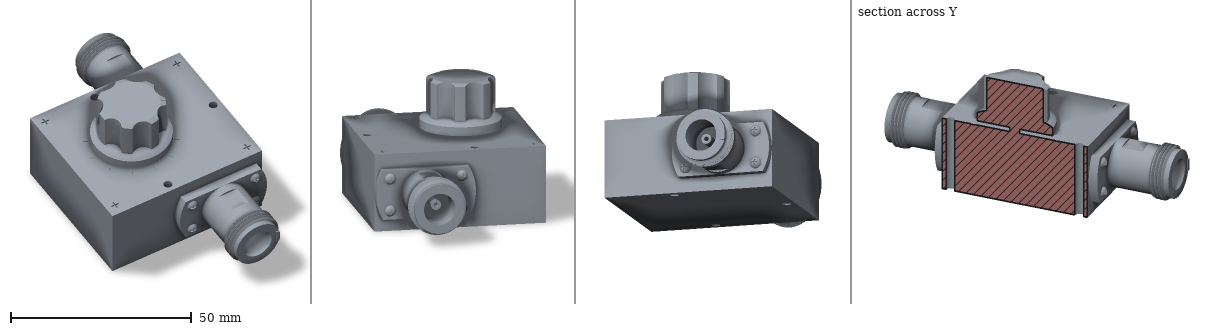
import cadquery as cq
import math


box_width = 44.0
box_depth = 48.53
box_height = 22.0
lid_thickness = 4.1
knob_to_back = 29.0
back_y = knob_to_back
front_y = back_y - box_depth
base_height = box_height - lid_thickness

mount_hole_diameter = 2.5
mount_hole_inset = 2.5

lid_screw_diameter = 3.6
lid_screw_depth = 1.5
lid_screw_inset_x = 3.3
lid_screw_inset_y = 2.9
lid_slot_length = 2.4
lid_slot_width = 0.4
slot_depth = 0.6

shaft_diameter = 3.175
skirt_radius = 11.5
skirt_bottom = 23.2
skirt_edge_top = 25.7
grip_radius = 9.6
grip_base = 26.75
skirt_crown = 27.15
grip_top_radius = 8.05
grip_chamfer_height = 0.6
knob_top = 37.38
cap_radius = 6.6
cap_depth = 1.0
lobe_count = 7
lobe_half_angle = math.radians(8.75)
scallop_valley_radius = 7.85
pointer_lobe = 3
pointer_width = 0.5
pointer_depth = 0.15

tick_count = 12
tick_inner_radius = 12.0
tick_length = 1.4
tick_width = 0.3
tick_depth = 0.1

barrel_radius = 7.0
connector_length = 20.95
flange_radius = 14.1
connector_y = back_y - flange_radius
connector_z = base_height - barrel_radius
flange_thickness = 2.6
flat_length = 6.35
flat_start = 5.1
flat_height = 6.35
bore_diameter = 8.9
bore_depth = 10.0
contact_diameter = 2.8
contact_hole_diameter = 1.3
contact_hole_depth = 4.0
contact_recess = 5.0

inch = 25.4
thread_pitch = inch / 24
thread_radius = inch * 5 / 16
thread_root_radius = 6.9
thread_crest_width = 0.08
thread_root_width = 0.95
thread_envelope_clearance = 0.2
thread_taper_radius = 6.7
thread_taper_length = 1.0
thread_start = connector_length - 6.2
thread_end = connector_length - 1.3

flange_screw_radius = 1.58
flange_screw_height = 1.14
flange_screw_y = 10.17
flange_screw_z = 4.55
flange_slot_length = 1.7
flange_slot_width = 0.4

tab_height = 0.3
tab_width = 3.6
tab_inner_edge = 5.8


def cross_slot(length, width, depth):
    """Cross-shaped cutter reaching down from z = 0."""
    bar = cq.Workplane("XY").rect(length, width).extrude(-depth)
    return bar.union(bar.rotate((0, 0, 0), (0, 0, 1), 90))


def lid_screw_points():
    x = box_width / 2 - lid_screw_inset_x
    front_row = front_y + lid_screw_inset_y
    back_row = back_y - lid_screw_inset_y
    return [(side * x, y) for side in (-1, 1) for y in (front_row, back_row)]


def drill_mount_holes(body):
    side_x = box_width / 2 - mount_hole_inset
    points = [(-side_x, 0), (side_x, 0), (0, back_y - mount_hole_inset)]
    drills = cq.Workplane("XY").pushPoints(points).circle(mount_hole_diameter / 2).extrude(box_height)
    return body.cut(drills)


def make_base():
    block = cq.Workplane("XY").box(box_width, box_depth, base_height, centered=(True, False, False))
    return drill_mount_holes(block.translate((0, front_y, 0)))


def make_lid():
    plate = cq.Workplane("XY").box(box_width, box_depth, lid_thickness, centered=(True, False, False))
    lid = drill_mount_holes(plate.translate((0, front_y, base_height)))
    top = cq.Workplane("XY", origin=(0, 0, box_height))
    seats = top.pushPoints(lid_screw_points()).circle(lid_screw_diameter / 2).extrude(-lid_screw_depth)
    ticks = (
        top.polarArray(tick_inner_radius + tick_length / 2, 0, 360, tick_count)
        .rect(tick_length, tick_width)
        .extrude(-tick_depth)
    )
    return lid.cut(seats).cut(ticks)


def make_lid_screws():
    screw = cq.Workplane("XY").circle(lid_screw_diameter / 2).extrude(-lid_screw_depth)
    screw = screw.cut(cross_slot(lid_slot_length, lid_slot_width, slot_depth))
    return [screw.translate((x, y, box_height)) for x, y in lid_screw_points()]


def make_knob():
    """Shaft, domed skirt and scalloped grip; the grip top has a socket for the cap."""
    skirt = (
        cq.Workplane("XZ")
        .moveTo(0, skirt_bottom)
        .lineTo(skirt_radius, skirt_bottom)
        .lineTo(skirt_radius, skirt_edge_top)
        .threePointArc((grip_radius, grip_base), (scallop_valley_radius, skirt_crown))
        .lineTo(0, skirt_crown)
        .close()
        .revolve(360, (0, 0), (0, 1))
    )
    grip = (
        cq.Workplane("XZ")
        .moveTo(0, skirt_edge_top)
        .lineTo(grip_radius, skirt_edge_top)
        .lineTo(grip_radius, knob_top - grip_chamfer_height)
        .lineTo(grip_top_radius, knob_top)
        .lineTo(0, knob_top)
        .close()
        .revolve(360, (0, 0), (0, 1))
    )
    scallop_half_angle = math.pi / lobe_count - lobe_half_angle
    half_chord = grip_radius * math.sin(scallop_half_angle)
    sagitta = grip_radius * math.cos(scallop_half_angle) - scallop_valley_radius
    scallop_radius = (half_chord**2 + sagitta**2) / (2 * sagitta)
    first_scallop_angle = -90 + 180 / lobe_count
    scallops = (
        cq.Workplane("XY", origin=(0, 0, skirt_bottom))
        .polarArray(scallop_valley_radius + scallop_radius, first_scallop_angle, 360, lobe_count)
        .circle(scallop_radius)
        .extrude(knob_top - skirt_bottom)
    )
    socket = cq.Workplane("XY", origin=(0, 0, knob_top)).circle(cap_radius).extrude(-cap_depth)
    shaft = (
        cq.Workplane("XY", origin=(0, 0, base_height))
        .circle(shaft_diameter / 2)
        .extrude(skirt_edge_top - base_height)
    )
    grip = grip.cut(scallops).cut(make_pointer_groove())
    return grip.union(skirt).union(shaft).cut(socket)


def make_pointer_groove():
    """Cutter for the shallow pointer mark down the chamfer of one lobe."""
    chamfer_bottom = knob_top - grip_chamfer_height
    groove = (
        cq.Workplane("XZ")
        .moveTo(grip_top_radius, knob_top)
        .lineTo(grip_radius, chamfer_bottom)
        .lineTo(grip_radius, chamfer_bottom - pointer_depth)
        .lineTo(grip_top_radius, knob_top - pointer_depth)
        .close()
        .extrude(pointer_width / 2, both=True)
    )
    return groove.rotate((0, 0, 0), (0, 0, 1), -90 + pointer_lobe * 360 / lobe_count)


def make_knob_cap():
    return cq.Workplane("XY", origin=(0, 0, knob_top)).circle(cap_radius).extrude(-cap_depth)


def make_thread():
    """Helical ridge around the Z axis, trimmed by an envelope tapered at both ends."""
    helix_bottom = thread_start - thread_pitch / 2
    helix_height = thread_end - thread_start + thread_pitch
    path = cq.Wire.makeHelix(thread_pitch, helix_height, thread_root_radius)
    ridge = (
        cq.Workplane("XZ")
        .polyline([
            (thread_root_radius, -thread_root_width / 2),
            (thread_radius, -thread_crest_width / 2),
            (thread_radius, thread_crest_width / 2),
            (thread_root_radius, thread_root_width / 2),
        ])
        .close()
        .sweep(cq.Workplane(path), isFrenet=True)
        .translate((0, 0, helix_bottom))
    )
    envelope_radius = thread_radius + thread_envelope_clearance
    envelope = (
        cq.Workplane("XZ")
        .moveTo(0, thread_start)
        .lineTo(thread_taper_radius, thread_start)
        .lineTo(envelope_radius, thread_start + thread_taper_length)
        .lineTo(envelope_radius, thread_end - thread_taper_length)
        .lineTo(thread_taper_radius, thread_end)
        .lineTo(0, thread_end)
        .close()
        .revolve(360, (0, 0), (0, 1))
    )
    return ridge.intersect(envelope)


def make_connector():
    """Connector along +Z with its flange on z = 0; local X becomes vertical on the housing."""
    flange_trim = cq.Workplane("XY").rect(2 * barrel_radius, 2 * flange_radius).extrude(flange_thickness)
    flange = cq.Workplane("XY").circle(flange_radius).extrude(flange_thickness).intersect(flange_trim)
    barrel = cq.Workplane("XY").circle(barrel_radius).extrude(connector_length)
    flat_depth = barrel_radius - flat_height
    flat_cutters = (
        cq.Workplane("XY", origin=(0, 0, flat_start))
        .pushPoints([(side * (flat_height + flat_depth / 2), 0) for side in (-1, 1)])
        .rect(flat_depth, 2 * barrel_radius)
        .extrude(flat_length)
    )
    bore = cq.Workplane("XY", origin=(0, 0, connector_length)).circle(bore_diameter / 2).extrude(-bore_depth)
    contact_end = connector_length - contact_recess
    contact = (
        cq.Workplane("XY", origin=(0, 0, connector_length - bore_depth))
        .circle(contact_diameter / 2)
        .extrude(bore_depth - contact_recess)
    )
    contact_hole = (
        cq.Workplane("XY", origin=(0, 0, contact_end))
        .circle(contact_hole_diameter / 2)
        .extrude(-contact_hole_depth)
    )
    body = barrel.cut(flat_cutters).union(make_thread())
    body = body.cut(bore).union(contact.cut(contact_hole)).union(flange)
    for x in (-flange_screw_z, flange_screw_z):
        for y in (-flange_screw_y, flange_screw_y):
            body = body.union(make_domed_screw().translate((x, y, flange_thickness)))
    return body


def make_domed_screw():
    dome_radius = (flange_screw_radius**2 + flange_screw_height**2) / (2 * flange_screw_height)
    dome = cq.Workplane("XY").sphere(dome_radius).translate((0, 0, flange_screw_height - dome_radius))
    keep = cq.Workplane("XY").circle(2 * dome_radius).extrude(2 * dome_radius)
    slot = cross_slot(flange_slot_length, flange_slot_width, slot_depth)
    return dome.intersect(keep).cut(slot.translate((0, 0, flange_screw_height)))


def make_index_tab():
    """Thin raised segment on the connector rim, on the side nearest the back of the housing."""
    rim = cq.Workplane("XY").circle(barrel_radius).extrude(tab_height)
    segment = (
        cq.Workplane("XY")
        .center(0, (tab_inner_edge + barrel_radius) / 2)
        .rect(tab_width, barrel_radius - tab_inner_edge)
        .extrude(tab_height)
    )
    return rim.intersect(segment).translate((0, 0, connector_length))


def place_on_right(part):
    turned = part.rotate((0, 0, 0), (0, 1, 0), 90)
    return turned.translate((box_width / 2, connector_y, connector_z))


def place_on_left(part):
    turned = part.rotate((0, 0, 0), (0, 1, 0), 90).rotate((0, 0, 0), (0, 0, 1), 180)
    return turned.translate((-box_width / 2, connector_y, connector_z))


connector = make_connector()
parts = [make_lid(), make_knob(), make_knob_cap(), *make_lid_screws()]
parts += [place_on_left(connector), place_on_right(connector.union(make_index_tab()))]

result = make_base()
for part in parts:
    result = result.union(part, clean=False)